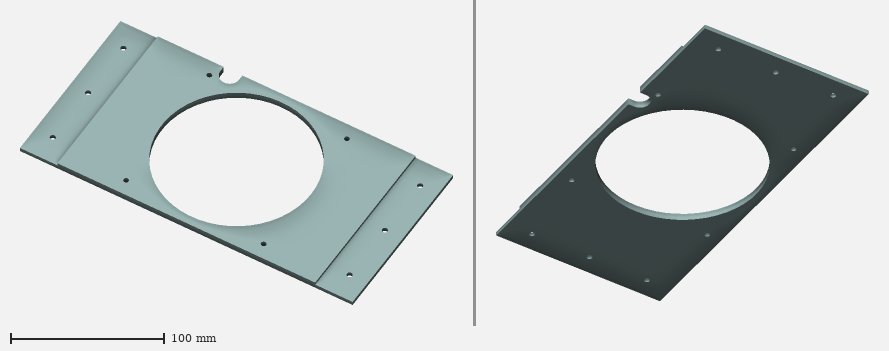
import cadquery as cq

length = 254.0
width = 126.75
thickness = 5.08

flange_length = 28.575
flange_thickness = 3.048

fan_opening_diameter = 114.0
fan_screw_spacing = 105.0
fan_screw_diameter = 3.8

flange_hole_offset = 113.3
flange_hole_pitch = 44.5
flange_hole_diameter = 4.0

notch_x = -41.0
notch_width = 14.3
notch_depth = 11.4


def make_plate():
    """Plate centred in X and Y, with its top face stepped down over both flanges."""
    base = cq.Workplane("XY").box(length, width, flange_thickness, centered=(True, True, False))
    raised_length = length - 2 * flange_length
    raised = cq.Workplane("XY").box(raised_length, width, thickness, centered=(True, True, False))
    return base.union(raised)


def drill(plate, diameter, centers):
    """Cut vertical through holes at the given centres."""
    holes = cq.Workplane("XY").pushPoints(centers).circle(diameter / 2).extrude(thickness)
    return plate.cut(holes)


def cut_notch(plate):
    """Cut the notch: straight sides ending in a half circle."""
    radius = notch_width / 2
    edge_y = width / 2
    center_y = edge_y - notch_depth + radius
    notch = (
        cq.Workplane("XY")
        .moveTo(notch_x - radius, edge_y)
        .lineTo(notch_x - radius, center_y)
        .threePointArc((notch_x, center_y - radius), (notch_x + radius, center_y))
        .lineTo(notch_x + radius, edge_y)
        .close()
        .extrude(thickness)
    )
    return plate.cut(notch)


fan_screw_centers = [
    (side_x * fan_screw_spacing / 2, side_y * fan_screw_spacing / 2)
    for side_x in (-1, 1)
    for side_y in (-1, 1)
]
flange_hole_centers = [
    (side * flange_hole_offset, row * flange_hole_pitch)
    for side in (-1, 1)
    for row in (-1, 0, 1)
]

result = make_plate()
result = drill(result, fan_opening_diameter, [(0, 0)])
result = drill(result, fan_screw_diameter, fan_screw_centers)
result = drill(result, flange_hole_diameter, flange_hole_centers)
result = cut_notch(result)